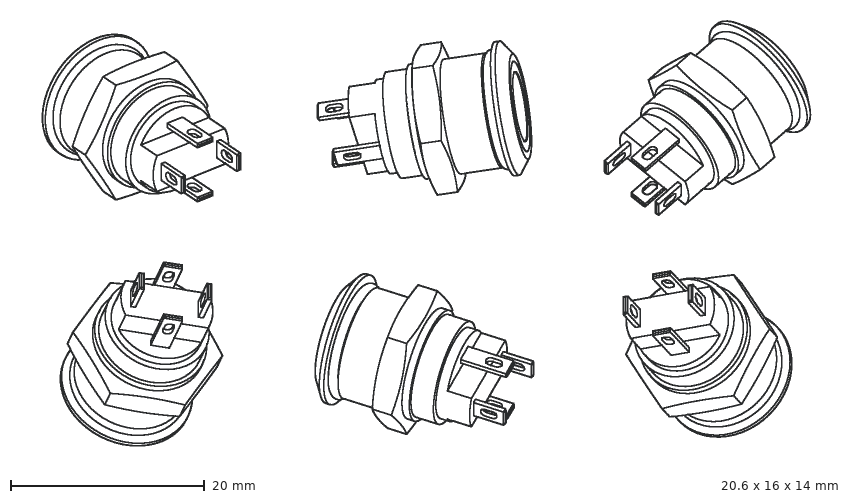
import cadquery as cq

bezel_cone_length = 1.13
bezel_end = 1.63
shank_start = 2.8
nut_start = 7.17
nut_end = 9.97
shank_end = 10.8
housing_end = 13.3
shoulder_x = 14.4
base_end = 17.1
side_tip_x = 20.6
upper_tip_x = 19.63

bezel_face_radius = 5.48
bezel_radius = 7.0
groove_radius = 5.4
shank_radius = 6.0
housing_radius = 5.56
base_radius = 4.92

ring_section_radius = 0.52
ring_x = 2.15
ring_outer_radius = 6.26

button_radius = 4.68
button_gap = 0.05
button_gap_depth = 0.2
recess_radius = 3.65
recess_depth = 0.1

nut_across_corners = 16.0
nut_face_radius = 6.85
nut_corner_bevel = 0.33

base_half_height = 2.16
tab_width = 2.0
tab_thickness = 0.52
tab_tip_chamfer = 0.15
tab_embed = 0.41
slot_length = 1.8
slot_width = 0.99
side_slot_tip_margin = 0.9
upper_slot_tip_margin = 1.0
side_tab_offset = 3.63
upper_tab_offset = 3.25


def make_body():
    """Bezel, groove, shank, housing and base turned about the X axis."""
    profile = [
        (0, 0),
        (0, bezel_face_radius),
        (bezel_cone_length, bezel_radius),
        (bezel_end, bezel_radius),
        (bezel_end, groove_radius),
        (shank_start, groove_radius),
        (shank_start, shank_radius),
        (shank_end, shank_radius),
        (shank_end, housing_radius),
        (housing_end, housing_radius),
        (housing_end, base_radius),
        (base_end, base_radius),
        (base_end, 0),
    ]
    return cq.Workplane("XY").polyline(profile).close().revolve(360, (0, 0, 0), (1, 0, 0))


def make_sealing_ring():
    """Round-section ring around the X axis."""
    section = cq.Workplane("XY").center(ring_x, ring_outer_radius - ring_section_radius)
    axis_y = ring_section_radius - ring_outer_radius
    return section.circle(ring_section_radius).revolve(360, (0, axis_y, 0), (1, axis_y, 0))


def make_nut():
    """Hexagonal nut with both faces bevelled by cones that start just inside the flats."""
    corner_radius = nut_across_corners / 2
    hexagon = (
        cq.Workplane("YZ", origin=(nut_start, 0, 0))
        .polygon(6, nut_across_corners)
        .extrude(nut_end - nut_start)
    )
    bevel_profile = [
        (nut_start, 0),
        (nut_start, nut_face_radius),
        (nut_start + nut_corner_bevel, corner_radius),
        (nut_end - nut_corner_bevel, corner_radius),
        (nut_end, nut_face_radius),
        (nut_end, 0),
    ]
    envelope = cq.Workplane("XY").polyline(bevel_profile).close().revolve(360, (0, 0, 0), (1, 0, 0))
    return hexagon.intersect(envelope)


def make_button_cuts():
    """Narrow gap around the button and the shallow round recess in its face."""
    gap = (
        cq.Workplane("YZ")
        .circle(button_radius + button_gap)
        .circle(button_radius)
        .extrude(button_gap_depth)
    )
    recess = cq.Workplane("YZ").circle(recess_radius).extrude(recess_depth)
    return gap.union(recess)


def make_step_cut(side):
    """Block that removes the base above (side=1) or below (side=-1) the central bar."""
    cut_height = base_radius - base_half_height
    return cq.Workplane("XY").box(
        base_end - shoulder_x, 2 * base_radius, cut_height, centered=(False, True, True)
    ).translate((shoulder_x, 0, side * (base_half_height + cut_height / 2)))


def make_tab(root_x, tip_x, slot_tip_margin):
    """Slotted solder tab lying flat on the XY plane."""
    start_x = root_x - tab_embed
    length = tip_x - start_x
    slot_x = tip_x - slot_tip_margin - slot_length / 2
    tab = (
        cq.Workplane("XY")
        .box(length, tab_width, tab_thickness, centered=(False, True, True))
        .faces(">X")
        .chamfer(tab_tip_chamfer)
        .translate((start_x, 0, 0))
    )
    slot = (
        cq.Workplane("XY", origin=(slot_x, 0, 0))
        .slot2D(slot_length, slot_width)
        .extrude(tab_thickness, both=True)
    )
    return tab.cut(slot)


body = make_body().union(make_sealing_ring()).union(make_nut()).cut(make_button_cuts())

for side in (1, -1):
    body = body.cut(make_step_cut(side))

for side in (1, -1):
    upright_tab = make_tab(base_end, side_tip_x, side_slot_tip_margin).rotate((0, 0, 0), (1, 0, 0), 90)
    body = body.union(upright_tab.translate((0, side * side_tab_offset, 0)))
    flat_tab = make_tab(shoulder_x, upper_tip_x, upper_slot_tip_margin)
    body = body.union(flat_tab.translate((0, 0, side * upper_tab_offset)))

result = body